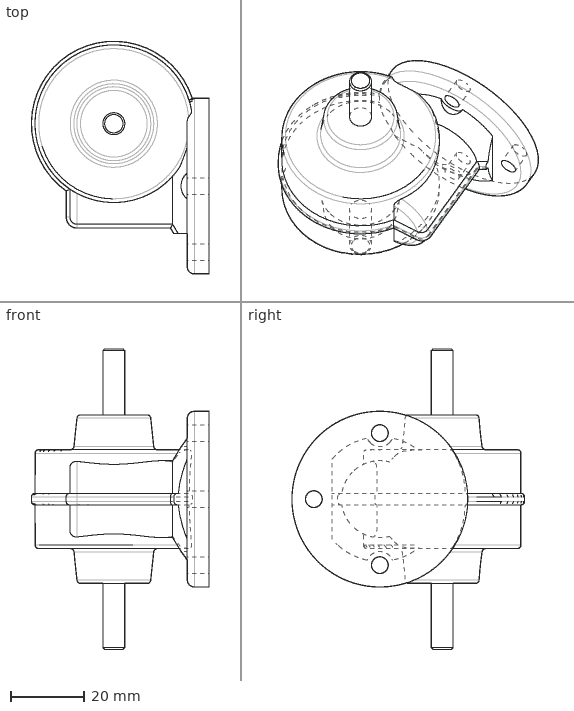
import cadquery as cq
import math

CASE_RADIUS = 21.5
CASE_HALF_HEIGHT = 13.5
CASE_FILLET = 1.0

BOSS_TOP_RADIUS = 10.0
BOSS_BASE_RADIUS = 11.0
BOSS_TOP_Z = 23.0
BOSS_FILLET = 1.0

SHAFT_RADIUS = 3.0
SHAFT_LENGTH = 82.0
SHAFT_CHAMFER = 0.5

WORM_Y = -17.0
WORM_RADIUS = 10.5
WORM_END_X = -12.0
WORM_END_FILLET = 2.0

FLANGE_RADIUS = 24.0
FLANGE_BACK_X = 26.0
FLANGE_THICKNESS = 6.0
FLANGE_EDGE_FILLET = 2.0
FLANGE_FACE_X = FLANGE_BACK_X - FLANGE_THICKNESS

NECK_START_X = 16.0
NECK_LENGTH = FLANGE_FACE_X - NECK_START_X
NECK_BASE_RADIUS = 17.0
NECK_FLAT_Y = -30.0

BOLT_CIRCLE_RADIUS = 18.0
BOLT_HOLE_RADIUS = 2.25
BOLT_HEAD_RADIUS = 3.7
BOLT_CENTERS = [
    (WORM_Y, BOLT_CIRCLE_RADIUS),
    (WORM_Y, -BOLT_CIRCLE_RADIUS),
    (WORM_Y - BOLT_CIRCLE_RADIUS, 0),
]

RIB_HEIGHT = 1.0
RIB_HALF_THICKNESS = 1.6
RIB_EMBED = 1.0


def make_case_half():
    """Upper half of the gear case with its boss, as one revolved profile."""
    half = (
        cq.Workplane("XZ")
        .lineTo(CASE_RADIUS, 0)
        .lineTo(CASE_RADIUS, CASE_HALF_HEIGHT)
        .lineTo(BOSS_BASE_RADIUS, CASE_HALF_HEIGHT)
        .lineTo(BOSS_TOP_RADIUS, BOSS_TOP_Z)
        .lineTo(0, BOSS_TOP_Z)
        .close()
        .revolve(360, (0, 0, 0), (0, 1, 0))
    )
    half = half.faces(">Z").edges().fillet(BOSS_FILLET)
    return half.faces("|Z").faces(">Z[-2]").edges().fillet(CASE_FILLET)


def make_case():
    upper = make_case_half()
    return upper.union(upper.mirror("XY"))


def make_shaft():
    shaft = cq.Workplane("XY").circle(SHAFT_RADIUS).extrude(SHAFT_LENGTH / 2, both=True)
    return shaft.faces("|Z").chamfer(SHAFT_CHAMFER)


def make_worm_housing():
    """Cylinder along X from its rounded end to the flange."""
    housing = (
        cq.Workplane("YZ", origin=(WORM_END_X, WORM_Y, 0))
        .circle(WORM_RADIUS)
        .extrude(FLANGE_FACE_X - WORM_END_X)
    )
    return housing.faces("<X").edges().fillet(WORM_END_FILLET)


def flat_side_limit():
    """Block holding everything on the +Y side of the neck flat, up to mid flange."""
    size = 4 * FLANGE_RADIUS
    block_end_x = FLANGE_FACE_X + FLANGE_THICKNESS / 2
    return cq.Workplane("XY").box(size, size, size).translate(
        (block_end_x - size / 2, NECK_FLAT_Y + size / 2, 0)
    )


def make_neck():
    """Cone widening towards the flange, with its -Y side cut flat."""
    cone = cq.Workplane(cq.Solid.makeCone(
        WORM_RADIUS,
        NECK_BASE_RADIUS,
        NECK_LENGTH,
        pnt=cq.Vector(NECK_START_X, WORM_Y, 0),
        dir=cq.Vector(1, 0, 0),
    ))
    return cone.intersect(flat_side_limit())


def make_flange():
    flange = (
        cq.Workplane("YZ", origin=(FLANGE_FACE_X, WORM_Y, 0))
        .circle(FLANGE_RADIUS)
        .extrude(FLANGE_THICKNESS)
    )
    return flange.faces("<X").edges().fillet(FLANGE_EDGE_FILLET)


def bolt_cylinders(radius, start_x, end_x):
    """Cylinders along X at every bolt position."""
    return (
        cq.Workplane("YZ", origin=(start_x, 0, 0))
        .pushPoints(BOLT_CENTERS)
        .circle(radius)
        .extrude(end_x - start_x)
    )


def rib_section(plane):
    """Rib cross-section: local X points outwards from the wall, local Y along Z."""
    crest = RIB_HALF_THICKNESS - RIB_HEIGHT
    return (
        cq.Workplane(plane)
        .moveTo(-RIB_EMBED, -RIB_HALF_THICKNESS)
        .lineTo(0, -RIB_HALF_THICKNESS)
        .radiusArc((RIB_HEIGHT, -crest), -RIB_HEIGHT)
        .lineTo(RIB_HEIGHT, crest)
        .radiusArc((0, RIB_HALF_THICKNESS), -RIB_HEIGHT)
        .lineTo(-RIB_EMBED, RIB_HALF_THICKNESS)
        .close()
    )


def make_case_rib():
    plane = cq.Plane(origin=(CASE_RADIUS, 0, 0), xDir=(1, 0, 0), normal=(0, -1, 0))
    return rib_section(plane).revolve(360, (-CASE_RADIUS, 0, 0), (-CASE_RADIUS, 1, 0))


def make_worm_rib():
    """Rib down the end of the worm housing, round its corner and along its side."""
    side_y = WORM_Y - WORM_RADIUS
    corner = WORM_END_FILLET
    path = (
        cq.Workplane("XY")
        .moveTo(WORM_END_X, WORM_Y)
        .lineTo(WORM_END_X, side_y + corner)
        .radiusArc((WORM_END_X + corner, side_y), -corner)
        .lineTo(NECK_START_X, side_y)
    )
    plane = cq.Plane(origin=(WORM_END_X, WORM_Y, 0), xDir=(-1, 0, 0), normal=(0, -1, 0))
    return rib_section(plane).sweep(path)


def make_neck_rib():
    """Rib along the sloping side of the neck, ending at the neck flat."""
    rise = NECK_BASE_RADIUS - WORM_RADIUS
    plane = cq.Plane(
        origin=(NECK_START_X, WORM_Y - WORM_RADIUS, 0),
        xDir=(-rise, -NECK_LENGTH, 0),
        normal=(NECK_LENGTH, -rise, 0),
    )
    slope_length = math.hypot(rise, NECK_LENGTH)
    rib = rib_section(plane).extrude(slope_length)
    rib = rib.union(rib_section(plane).extrude(-RIB_HEIGHT))
    return rib.intersect(flat_side_limit())


def make_part():
    mount = make_neck().cut(bolt_cylinders(BOLT_HEAD_RADIUS, NECK_START_X, FLANGE_FACE_X))
    mount = mount.union(make_flange())
    mount = mount.cut(bolt_cylinders(BOLT_HOLE_RADIUS, FLANGE_FACE_X, FLANGE_BACK_X))
    body = mount.union(make_worm_housing()).union(make_case()).union(make_shaft())
    return body.union(make_case_rib()).union(make_worm_rib()).union(make_neck_rib())


result = make_part()